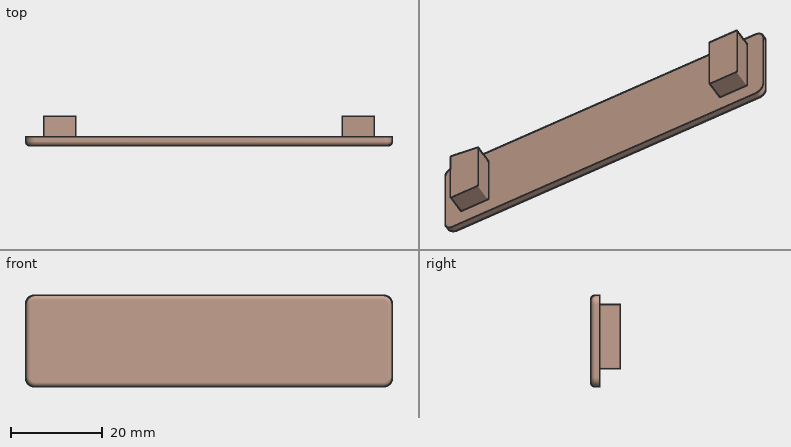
import cadquery as cq

plate_length = 80.0
plate_height = 20.0
plate_thickness = 2.0
plate_corner_radius = 2.0
front_edge_radius = plate_thickness / 2

overall_depth = 6.5
post_depth = overall_depth - plate_thickness
post_width = 7.0
post_height = 14.1
post_end_margin = 3.9
post_top_margin = 2.0
post_corner_radius = 0.3
right_post_top_drop = 1.0

post_outer_x = plate_length / 2 - post_end_margin
post_inner_x = post_outer_x - post_width
post_top_z = plate_height / 2 - post_top_margin
post_bottom_z = post_top_z - post_height


def make_plate():
    """Flat plate with rounded corners and a rounded front rim; its back lies on Y = 0."""
    plate = cq.Workplane("XZ").rect(plate_length, plate_height).extrude(plate_thickness)
    plate = plate.edges("|Y").fillet(plate_corner_radius)
    return plate.faces("<Y").edges().fillet(front_edge_radius)


def make_post(left_x, right_x, left_top_z, right_top_z):
    """Four-sided post with rounded long edges, rooted in the back of the plate."""
    outline = [
        (left_x, post_bottom_z),
        (right_x, post_bottom_z),
        (right_x, right_top_z),
        (left_x, left_top_z),
    ]
    post = cq.Workplane("XZ").polyline(outline).close().extrude(-post_depth)
    return post.edges("|Y").fillet(post_corner_radius)


left_post = make_post(-post_outer_x, -post_inner_x, post_top_z, post_top_z)
right_post = make_post(post_inner_x, post_outer_x, post_top_z - right_post_top_drop, post_top_z)

result = make_plate().union(left_post).union(right_post)